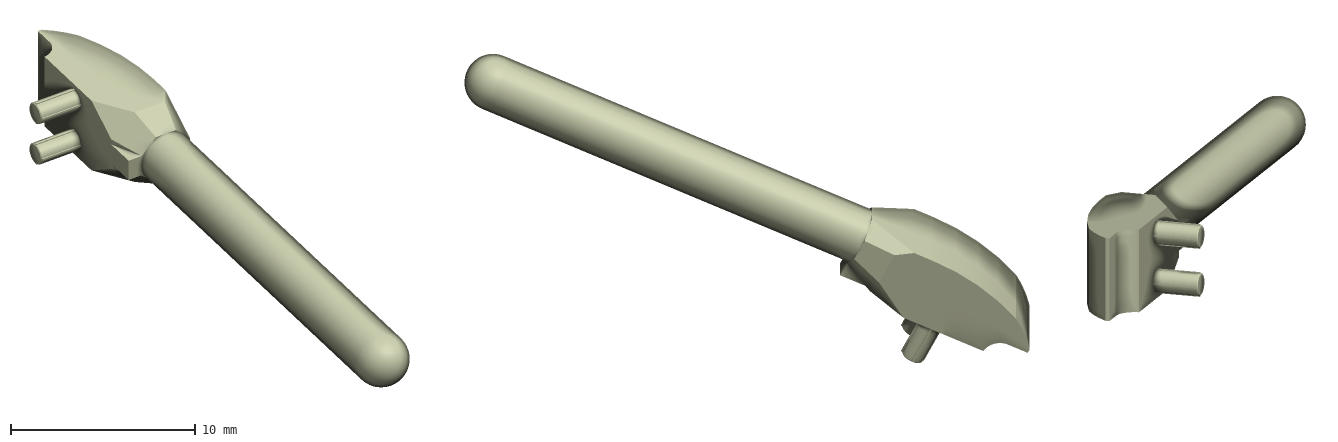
import math

import cadquery as cq


handle_radius = 1.55
overall_length = 34.49
handle_start = 10.85

head_thickness = 4.65
head_back_y = handle_radius
head_front_y = -2.38
nose_top_y = -1.2
nose_bottom_y = -1.43
nose_length = 1.3
step_radius = 1.08
step_end_x = 2.22
crown_x = 7.2
brow_x = 1.54
brow_y = 0.25
nose_radius = 6.3

taper_sides = 8
taper_angle = 25

rib_start_x = 6

pin_diameter = 1.24
pin_x = 5.29
pin_spacing = 2.7
pin_tip_y = -4.9
pin_chamfer = 0.05
pin_rib_span = 1.36
pin_rib_width = 0.11
pin_rib_tip_gap = 0.06


def make_head():
    """Block with an arched back of two arcs, a thin nose and a concave step behind the nose."""
    return (
        cq.Workplane("XY")
        .moveTo(0, nose_bottom_y)
        .lineTo(nose_length, nose_bottom_y)
        .radiusArc((step_end_x, head_front_y), step_radius)
        .lineTo(handle_start, head_front_y)
        .lineTo(handle_start, head_back_y)
        .lineTo(crown_x, head_back_y)
        .tangentArcPoint((brow_x, brow_y), relative=False)
        .radiusArc((0, nose_top_y), -nose_radius)
        .close()
        .extrude(head_thickness / 2, both=True)
    )


def make_taper():
    """Octagonal pyramid whose small end just encloses the handle."""
    growth = handle_start * math.tan(math.radians(taper_angle))
    corner_ratio = 1 / math.cos(math.pi / taper_sides)
    turn = 180 / taper_sides

    def octagon(plane, apothem):
        return plane.transformed(rotate=(0, 0, turn)).polygon(taper_sides, 2 * apothem * corner_ratio)

    large_end = octagon(cq.Workplane("YZ"), handle_radius + growth)
    small_plane = large_end.transformed(rotate=(0, 0, -turn), offset=(0, 0, handle_start))
    return octagon(small_plane, handle_radius).loft(ruled=True)


def make_rib():
    """Rib as wide as one octagon side that carries the front face to the handle."""
    rib_width = 2 * handle_radius * math.tan(math.pi / taper_sides)
    return (
        cq.Workplane("XY")
        .moveTo(rib_start_x, head_front_y)
        .lineTo(handle_start, head_front_y)
        .lineTo(handle_start, 0)
        .lineTo(rib_start_x, 0)
        .close()
        .extrude(rib_width / 2, both=True)
    )


def make_handle():
    """Rod with a hemispherical end."""
    dome_start = overall_length - handle_radius
    start_plane = cq.Workplane("YZ", origin=(handle_start, 0, 0))
    rod = start_plane.circle(handle_radius).extrude(dome_start - handle_start)
    dome = cq.Workplane("XY").sphere(handle_radius).translate((dome_start, 0, 0))
    return rod.union(dome)


def make_pin(z):
    """Chamfered pin on the front face, with fine gripping ribs along its sides."""
    face = cq.Workplane("XZ", origin=(pin_x, head_front_y, z))
    pin_length = head_front_y - pin_tip_y
    pin = face.circle(pin_diameter / 2).extrude(pin_length).faces("<Y").chamfer(pin_chamfer)
    for width, height in ((pin_rib_span, pin_rib_width), (pin_rib_width, pin_rib_span)):
        pin = pin.union(face.rect(width, height).extrude(pin_length - pin_rib_tip_gap))
    return pin


result = make_head().intersect(make_taper()).union(make_rib()).union(make_handle())
for pin_z in (-pin_spacing / 2, pin_spacing / 2):
    result = result.union(make_pin(pin_z))